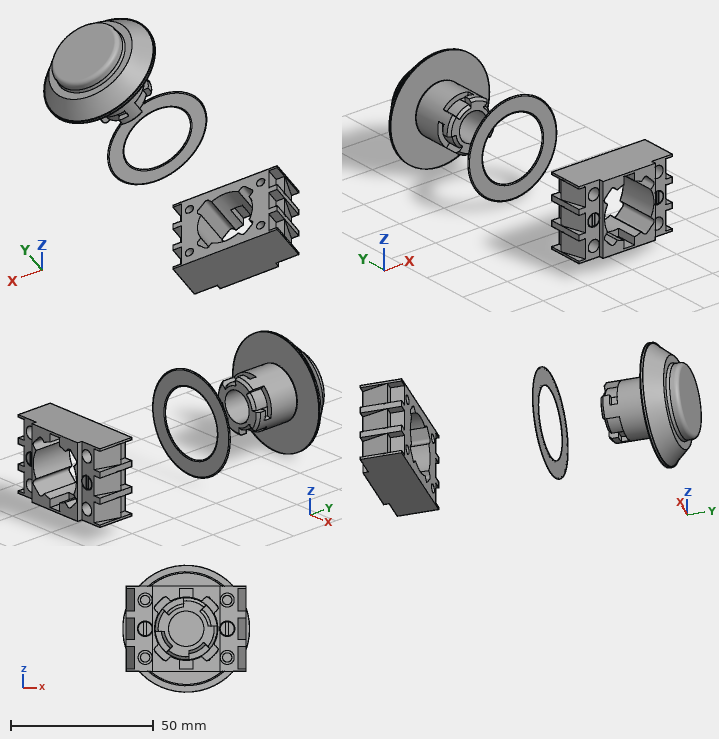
import cadquery as cq
import math

TOTAL_LENGTH = 116.7

BUTTON_RADIUS = 13.7
BUTTON_THICKNESS = 3.3
BUTTON_EDGE_RADIUS = 1.5

COLLAR_RADIUS = 14.0
SKIRT_START = 4.4
SKIRT_FRONT_RADIUS = 16.8
SKIRT_REAR_RADIUS = 21.8
SKIRT_END = 10.4
RIM_DIAMETER = 44.5
RIM_RADIUS = RIM_DIAMETER / 2
RIM_END = 11.1
BARREL_RADIUS = 10.9
BARREL_END = 29.8
BARREL_CHAMFER = 1.0
BORE_RADIUS = 6.2

SLOT_COUNT = 4
SLOT_PITCH = 360 / SLOT_COUNT
SLOT_ANGLE = SLOT_PITCH / 2
SLOT_START = 23.5
SLOT_FLOOR_RADIUS = 8.8
SLOT_WALL_OFFSET = 0.9
UNDERCUT_END = 26.3
UNDERCUT_REACH = 2.5

GASKET_THICKNESS = 0.4
GASKET_END = RIM_END + GASKET_THICKNESS

WASHER_START = 51.5
WASHER_THICKNESS = 0.4
WASHER_RADIUS = 20.0
WASHER_HOLE_RADIUS = 13.4
WASHER_BEVEL_WIDTH = 0.5
WASHER_BEVEL_HEIGHT = WASHER_THICKNESS / 2

BLOCK_START = 99.4
BLOCK_SHOULDER = 114.7
BLOCK_WIDTH = 42.0
BLOCK_HEIGHT = 29.9
PAD_WIDTH = 23.6

OPENING_RADIUS = 11.1
LOBE_WIDTH = 6.1
LOBE_REACH = 13.4
LOBE_CORNER_RADIUS = 1.2
KEYWAY_WIDTH = 4.8
KEYWAY_REACH = 14.0
KEYWAY_DEPTH = 9.0

MIDDLE_RECESS_HEIGHT = 7.6
INNER_FIN_THICKNESS = 2.3
OUTER_FIN_THICKNESS = 0.9
REAR_RECESS_LENGTH = 5.3
REAR_RECESS_DEPTH = 3.4
RAMP_DEPTH = 2.9

COLUMN_X = 14.4
TERMINAL_Z = 10.0
TERMINAL_RADIUS = 2.5
COUNTERBORE_DEPTH = 7.0
TERMINAL_BORE_RADIUS = 1.6
SCREW_RADIUS = 2.5
SCREW_CLEARANCE = 0.2
SCREW_LENGTH = 7.0
SCREW_SLOT_WIDTH = 1.0
SCREW_SLOT_DEPTH = 0.4


def plane_at(station):
    """XZ workplane at a station; extruding from it runs toward -Y."""
    return cq.Workplane("XZ", origin=(0, -station, 0))


def cylinder(radius, start, end, x=0, z=0):
    return plane_at(start).center(x, z).circle(radius).extrude(end - start)


def revolved(profile):
    """Solid of revolution about Y from (radius, station) points."""
    points = [(radius, -station) for radius, station in profile]
    return cq.Workplane("XY").polyline(points).close().revolve(360, (0, 0, 0), (0, 1, 0))


def make_button():
    return cylinder(BUTTON_RADIUS, 0, BUTTON_THICKNESS).faces(">Y").edges().fillet(BUTTON_EDGE_RADIUS)


def slot_sector():
    """Wedge of one slot, both its walls offset the same way round from the radial lines."""
    far = 2 * BARREL_RADIUS
    angle = math.radians(SLOT_ANGLE)
    shift = (-SLOT_WALL_OFFSET * math.sin(angle), SLOT_WALL_OFFSET * math.cos(angle))
    end_wall = (shift[0] + far * math.cos(angle), shift[1] + far * math.sin(angle))
    outline = [shift, (0, SLOT_WALL_OFFSET), (far, SLOT_WALL_OFFSET), (far, far), end_wall]
    return plane_at(SLOT_START).polyline(outline).close().extrude(BARREL_END - SLOT_START)


def slot_cutter():
    """One bayonet slot: the sector down to its chamfered floor, and the undercut beside it."""
    core = cylinder(SLOT_FLOOR_RADIUS, SLOT_START, BARREL_END).faces("<Y").edges().chamfer(BARREL_CHAMFER)
    flare = 2
    outline = [
        (SLOT_FLOOR_RADIUS, SLOT_WALL_OFFSET),
        (SLOT_FLOOR_RADIUS, -UNDERCUT_REACH),
        (flare * SLOT_FLOOR_RADIUS, -flare * UNDERCUT_REACH),
        (flare * SLOT_FLOOR_RADIUS, SLOT_WALL_OFFSET),
    ]
    undercut = plane_at(SLOT_START).polyline(outline).close().extrude(UNDERCUT_END - SLOT_START)
    return slot_sector().cut(core).union(undercut)


def make_bezel():
    bezel = revolved([
        (BORE_RADIUS, BUTTON_THICKNESS),
        (BUTTON_RADIUS, BUTTON_THICKNESS),
        (COLLAR_RADIUS, SKIRT_START),
        (SKIRT_FRONT_RADIUS, SKIRT_START),
        (SKIRT_REAR_RADIUS, SKIRT_END),
        (RIM_RADIUS, SKIRT_END),
        (RIM_RADIUS, RIM_END),
        (BARREL_RADIUS, RIM_END),
        (BARREL_RADIUS, BARREL_END - BARREL_CHAMFER),
        (BARREL_RADIUS - BARREL_CHAMFER, BARREL_END),
        (BORE_RADIUS, BARREL_END),
    ])
    cutter = slot_cutter()
    for index in range(SLOT_COUNT):
        bezel = bezel.cut(cutter.rotate((0, 0, 0), (0, 1, 0), index * SLOT_PITCH))
    return bezel


def make_gasket():
    return cylinder(RIM_RADIUS, RIM_END, GASKET_END).cut(cylinder(BARREL_RADIUS, RIM_END, GASKET_END))


def make_washer():
    """Flat washer beveled toward -Y along its outer edge and its hole."""
    washer_end = WASHER_START + WASHER_THICKNESS
    bevel_start = washer_end - WASHER_BEVEL_HEIGHT
    return revolved([
        (WASHER_HOLE_RADIUS, WASHER_START),
        (WASHER_RADIUS, WASHER_START),
        (WASHER_RADIUS, bevel_start),
        (WASHER_RADIUS - WASHER_BEVEL_WIDTH, washer_end),
        (WASHER_HOLE_RADIUS + WASHER_BEVEL_WIDTH, washer_end),
        (WASHER_HOLE_RADIUS, bevel_start),
    ])


def block_opening():
    """Round opening with four diagonal lobes right through and two blind keyways."""
    length = TOTAL_LENGTH - BLOCK_START
    opening = cylinder(OPENING_RADIUS, BLOCK_START, TOTAL_LENGTH)
    lobes = plane_at(BLOCK_START).rect(2 * LOBE_REACH, LOBE_WIDTH).extrude(length)
    lobes = lobes.edges("|Y").fillet(LOBE_CORNER_RADIUS)
    for angle in (45, 135):
        opening = opening.union(lobes.rotate((0, 0, 0), (0, 1, 0), angle))
    keyway_plane = plane_at(TOTAL_LENGTH - KEYWAY_DEPTH)
    keyways = keyway_plane.rect(KEYWAY_WIDTH, 2 * KEYWAY_REACH).extrude(KEYWAY_DEPTH)
    return opening.union(keyways)


def side_recess(bottom, height):
    """Recess in the -X side: a flat pocket at the rear, then a ramp deepening toward the shoulder."""
    side = -BLOCK_WIDTH / 2
    ramp_start = BLOCK_START + REAR_RECESS_LENGTH
    outline = [
        (side, -BLOCK_START),
        (side + REAR_RECESS_DEPTH, -BLOCK_START),
        (side + REAR_RECESS_DEPTH, -ramp_start),
        (side, -ramp_start),
    ]
    pocket = cq.Workplane("XY", origin=(0, 0, bottom)).polyline(outline).close().extrude(height)
    ramp_outline = [
        (side, -ramp_start),
        (side + RAMP_DEPTH, -BLOCK_SHOULDER),
        (side, -BLOCK_SHOULDER),
    ]
    ramp = cq.Workplane("XY", origin=(0, 0, bottom)).polyline(ramp_outline).close().extrude(height)
    return pocket, ramp


def cut_side_recesses(block):
    outer_bottom = MIDDLE_RECESS_HEIGHT / 2 + INNER_FIN_THICKNESS
    outer_height = BLOCK_HEIGHT / 2 - OUTER_FIN_THICKNESS - outer_bottom
    spans = [
        (-MIDDLE_RECESS_HEIGHT / 2, MIDDLE_RECESS_HEIGHT),
        (outer_bottom, outer_height),
        (-outer_bottom - outer_height, outer_height),
    ]
    for bottom, height in spans:
        for cutter in side_recess(bottom, height):
            block = block.cut(cutter).cut(cutter.mirror("YZ"))
    return block


def make_block():
    body = plane_at(BLOCK_START).rect(BLOCK_WIDTH, BLOCK_HEIGHT).extrude(BLOCK_SHOULDER - BLOCK_START)
    pad = plane_at(BLOCK_SHOULDER).rect(PAD_WIDTH, BLOCK_HEIGHT).extrude(TOTAL_LENGTH - BLOCK_SHOULDER)
    block = cut_side_recesses(body.union(pad).cut(block_opening()))
    for x in (-COLUMN_X, COLUMN_X):
        screw_hole_radius = SCREW_RADIUS + SCREW_CLEARANCE
        block = block.cut(cylinder(screw_hole_radius, BLOCK_SHOULDER - SCREW_LENGTH, BLOCK_SHOULDER, x))
        for z in (-TERMINAL_Z, TERMINAL_Z):
            counterbore_start = BLOCK_SHOULDER - COUNTERBORE_DEPTH
            block = block.cut(cylinder(TERMINAL_RADIUS, counterbore_start, BLOCK_SHOULDER, x, z))
            block = block.cut(cylinder(TERMINAL_BORE_RADIUS, BLOCK_START, counterbore_start, x, z))
    return block


def make_screw(x):
    """Screw on the floor of its hole, flush with the shoulder, its driver slot along Z."""
    screw = cylinder(SCREW_RADIUS, BLOCK_SHOULDER - SCREW_LENGTH, BLOCK_SHOULDER, x)
    slot = plane_at(BLOCK_SHOULDER - SCREW_SLOT_DEPTH).center(x, 0)
    return screw.cut(slot.rect(SCREW_SLOT_WIDTH, 2 * SCREW_RADIUS).extrude(SCREW_SLOT_DEPTH))


button = make_button()
bezel = make_bezel()
gasket = make_gasket()
washer = make_washer()
block = make_block()
screws = [make_screw(x).val() for x in (-COLUMN_X, COLUMN_X)]

result = cq.Compound.makeCompound([
    button.val(),
    bezel.val(),
    gasket.val(),
    washer.val(),
    block.val(),
    *screws,
])